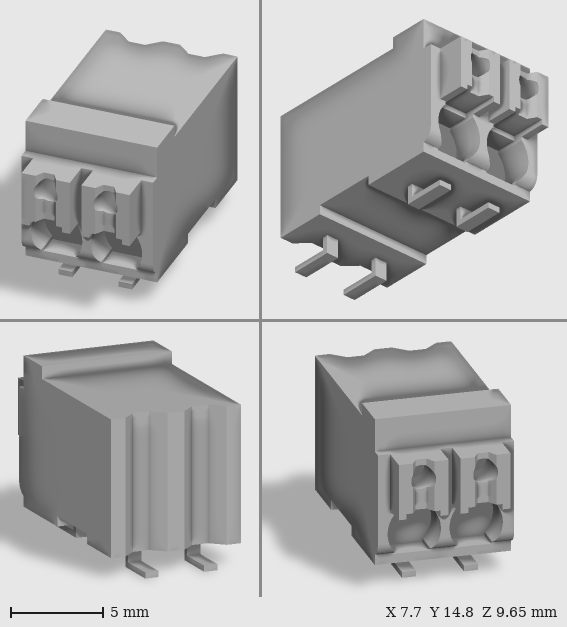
import cadquery as cq
import math


pitch = 3.5
pole_places = (-pitch / 2, pitch / 2)

housing_width = 7.7
housing_length = 11.73
housing_height = 7.79
brow_length = 2.51
brow_rise = 0.71
relief_start = 4.53
relief_length = 3.98
relief_depth = 0.58

notch_depth = 0.72
notch_floor_width = 0.95
notch_mouth_width = 2.51

lip_depth = 0.59
lip_top = 6.61
lip_radius = 0.78
lip_round_top = 1.37

button_width = 2.82
button_height = 3.22
button_reach = 2.29
button_insertion = 1.33
button_bottom = lip_top - button_height
groove_mouth_width = 1.21
groove_floor_width = 0.62
groove_depth = 0.5
tool_hole_diameter = 1.4
tool_hole_height = 5.58
step_width = 1.92
step_height = 0.31

opening_offset = -0.05
opening_depth = button_insertion
opening_floor = 0.53
opening_neck_width = 2.02
opening_bulge_width = 3.01
bulge_radius = 1.75
bulge_height = 1.96

pin_width = 0.8
pin_thickness = 0.34
pin_drop = 1.15
foot_length = 2.63
rear_pin_tip = housing_length + 0.74
front_pin_tip = 0.59


def centred_box(x, width, y_range, z_range):
    """Box centred on x that fills the given ranges of Y and Z."""
    y_start, y_end = y_range
    z_start, z_end = z_range
    box = cq.Workplane("XY").box(width, y_end - y_start, z_end - z_start, centered=(True, False, False))
    return box.translate((x, y_start, z_start))


def housing_block():
    """Side profile of the main block, with the front brow and the relief underneath."""
    relief_end = relief_start + relief_length
    profile = (
        cq.Workplane("YZ")
        .moveTo(0, 0)
        .lineTo(relief_start, 0)
        .lineTo(relief_start, relief_depth)
        .lineTo(relief_end, relief_depth)
        .lineTo(relief_end, 0)
        .lineTo(housing_length, 0)
        .lineTo(housing_length, housing_height)
        .lineTo(brow_length, housing_height)
        .lineTo(brow_length, housing_height + brow_rise)
        .lineTo(0, housing_height + brow_rise)
        .close()
    )
    return profile.extrude(housing_width / 2, both=True)


def front_lip():
    """Lip in front of the block; its rounded lower edge runs back to the front wall."""
    round_centre = lip_radius - lip_depth
    end_angle = math.acos(round_centre / lip_radius)
    mid_angle = end_angle / 2
    round_end = (0, lip_round_top - lip_radius * math.sin(end_angle))
    round_middle = (
        round_centre - lip_radius * math.cos(mid_angle),
        lip_round_top - lip_radius * math.sin(mid_angle),
    )
    profile = (
        cq.Workplane("YZ")
        .moveTo(0, lip_top)
        .lineTo(-lip_depth, lip_top)
        .lineTo(-lip_depth, lip_round_top)
        .threePointArc(round_middle, round_end)
        .close()
    )
    return profile.extrude(housing_width / 2, both=True)


def rear_notch(x):
    """Tapered notch over the full height of the rear wall."""
    outline = (
        cq.Workplane("XY")
        .moveTo(x - notch_mouth_width / 2, housing_length)
        .lineTo(x - notch_floor_width / 2, housing_length - notch_depth)
        .lineTo(x + notch_floor_width / 2, housing_length - notch_depth)
        .lineTo(x + notch_mouth_width / 2, housing_length)
        .close()
    )
    return outline.extrude(housing_height)


def button_slot(x):
    """Blind slot through the lip into the block that holds a button."""
    return centred_box(x, button_width, (-lip_depth, button_insertion), (button_bottom, lip_top))


def wire_opening(x):
    """Blind wire opening below a button, cut through the lip into the block."""
    neck = opening_neck_width / 2
    bulge = opening_bulge_width / 2
    arc_rise = math.sqrt(bulge_radius**2 - (bulge_radius - bulge + neck) ** 2)
    arc_bottom = bulge_height - arc_rise
    arc_top = bulge_height + arc_rise
    outline = (
        cq.Workplane("XZ", origin=(x + opening_offset, -lip_depth, 0))
        .moveTo(-neck, opening_floor)
        .lineTo(neck, opening_floor)
        .lineTo(neck, arc_bottom)
        .threePointArc((bulge, bulge_height), (neck, arc_top))
        .lineTo(neck, button_bottom)
        .lineTo(-neck, button_bottom)
        .lineTo(-neck, arc_top)
        .threePointArc((-bulge, bulge_height), (-neck, arc_bottom))
        .close()
    )
    return outline.extrude(-(lip_depth + opening_depth))


def make_housing():
    housing = housing_block().union(front_lip())
    for x in pole_places:
        housing = housing.cut(rear_notch(x)).cut(button_slot(x)).cut(wire_opening(x))
    return housing


def make_button(x):
    """Button with a tapered front groove, a tool hole and a step along its underside.

    The hole and the step end level with the front wall of the housing.
    """
    front = -button_reach
    body = centred_box(x, button_width, (front, button_insertion), (button_bottom, lip_top))
    groove = (
        cq.Workplane("XY", origin=(x, front, button_bottom))
        .moveTo(-groove_mouth_width / 2, 0)
        .lineTo(-groove_floor_width / 2, groove_depth)
        .lineTo(groove_floor_width / 2, groove_depth)
        .lineTo(groove_mouth_width / 2, 0)
        .close()
        .extrude(button_height)
    )
    tool_hole = (
        cq.Workplane("XZ", origin=(x, front, tool_hole_height))
        .circle(tool_hole_diameter / 2)
        .extrude(-button_reach)
    )
    step = centred_box(x, step_width, (front, 0), (button_bottom, button_bottom + step_height))
    return body.cut(groove).cut(tool_hole).cut(step)


def make_pin(x, tip, foot_direction):
    """L-shaped pin under the housing; foot_direction is the sense in Y from the leg to the tip."""
    heel = tip - foot_direction * foot_length
    leg_face = heel + foot_direction * pin_thickness
    foot_top = pin_thickness - pin_drop
    profile = (
        cq.Workplane("YZ", origin=(x, 0, 0))
        .moveTo(heel, 0)
        .lineTo(heel, -pin_drop)
        .lineTo(tip, -pin_drop)
        .lineTo(tip, foot_top)
        .lineTo(leg_face, foot_top)
        .lineTo(leg_face, 0)
        .close()
    )
    return profile.extrude(pin_width / 2, both=True)


housing = make_housing()
buttons = [make_button(x) for x in pole_places]
front_pins = [make_pin(x, front_pin_tip, -1) for x in pole_places]
rear_pins = [make_pin(x, rear_pin_tip, 1) for x in pole_places]

bodies = [housing, *buttons, *front_pins, *rear_pins]
result = cq.Compound.makeCompound([body.val() for body in bodies])